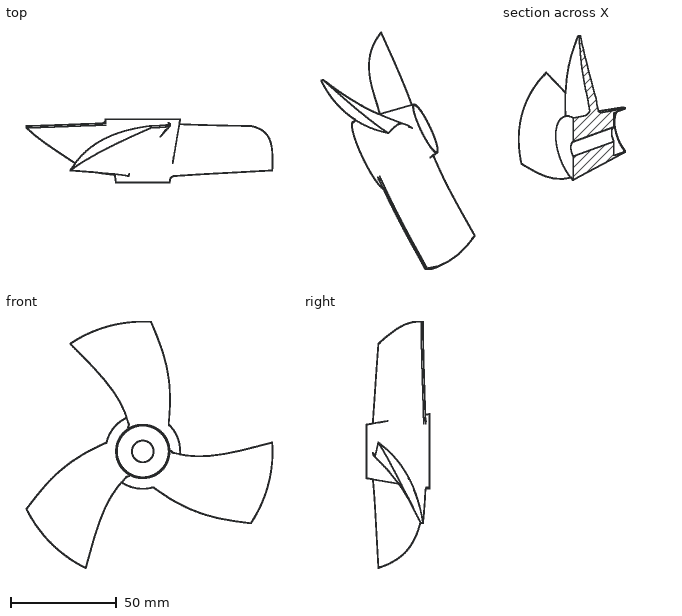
import cadquery as cq

hub_length = 30.0
hub_seam_angle = -20
hub_front_radius = 12.7
hub_back_radius = 17.7
bore_diameter = 10.1
recess_diameter = 24.4
recess_depth = 6.6

blade_count = 3
tip_radius = 61.4
root_fillet = 1.7
trailing_edge_thickness = 0.9
crown_height = 5.1
face_hollow = 0.7

blade_stations = [
    (7.0, (-5.2, 2.8), (11.4, 27.3)),
    (15.2, (-7.3, 3.1), (12.5, 27.1)),
    (23.3, (-10.8, 3.7), (13.0, 26.8)),
    (33.8, (-18.2, 4.4), (12.4, 26.5)),
    (42.0, (-25.5, 5.0), (10.8, 26.2)),
    (51.3, (-34.8, 5.7), (7.9, 26.0)),
    (62.4, (-46.1, 6.5), (3.5, 25.9)),
]


def make_hub():
    profile = [(0, 0), (hub_front_radius, 0), (hub_back_radius, hub_length), (0, hub_length)]
    hub = cq.Workplane("XY").polyline(profile).close().revolve(360, (0, 0), (0, 1))
    return hub.rotate((0, 0, 0), (0, 1, 0), hub_seam_angle)


def front_cylinder(diameter, depth):
    """Cylinder on the hub axis, running back from the small end."""
    return cq.Workplane("XZ").circle(diameter / 2).extrude(-depth)


def blade_section(height, leading, trailing):
    """Closed section: hollow front face, blunt trailing edge and crowned back face."""
    trailing_back = (trailing[0], trailing[1] + trailing_edge_thickness)
    middle_x = (leading[0] + trailing[0]) / 2
    front_y = (leading[1] + trailing[1]) / 2 - face_hollow
    outline = (
        cq.Workplane("XY", origin=(0, 0, height))
        .moveTo(*leading)
        .spline([(middle_x, front_y), trailing], includeCurrent=True)
        .lineTo(*trailing_back)
        .spline([(middle_x, front_y + crown_height), leading], includeCurrent=True)
    )
    return outline.wire().val()


def make_blade():
    sections = [blade_section(*station) for station in blade_stations]
    blade = cq.Workplane(cq.Solid.makeLoft(sections))
    return blade.intersect(front_cylinder(2 * tip_radius, hub_length))


hub = make_hub()
blade = make_blade()
propeller = hub
for index in range(blade_count):
    angle = index * 360 / blade_count
    propeller = propeller.union(blade.rotate((0, 0, 0), (0, 1, 0), angle))

rim_margin = 0.1
root_reach = hub_back_radius + 2.3
root_box = cq.selectors.BoxSelector(
    (-root_reach, rim_margin, -root_reach),
    (root_reach, hub_length - rim_margin, root_reach),
    boundingbox=True,
)
propeller = propeller.edges(root_box).fillet(root_fillet)

propeller = propeller.cut(front_cylinder(recess_diameter, recess_depth))
result = propeller.cut(front_cylinder(bore_diameter, hub_length))